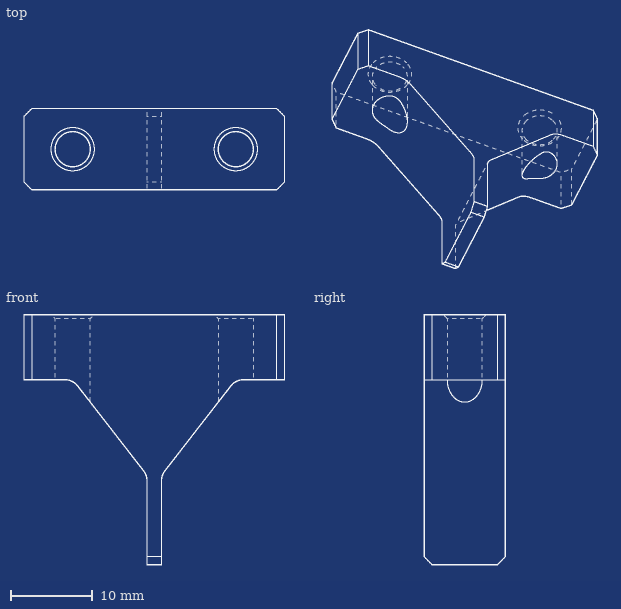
import cadquery as cq

length = 32.0
width = 10.0
block_height = 8.0
total_height = 30.7
corner_chamfer = 1.0

taper_half_width = 10.0
taper_end_depth = 19.7
blade_thickness = 1.8
bend_radius = 2.0

hole_spacing = 20.0
hole_diameter = 4.3
countersink_diameter = 5.3
countersink_angle = 90


def make_block():
    """Rectangular block with chamfered vertical edges."""
    block = cq.Workplane("XY").box(length, width, block_height, centered=(True, True, False))
    return block.translate((0, 0, -block_height)).edges("|Z").chamfer(corner_chamfer)


def make_blade():
    """Blade with its two lower corners chamfered, reaching up into the block."""
    blade = cq.Workplane("XY").box(blade_thickness, width, total_height, centered=(True, True, False))
    return blade.translate((0, 0, -total_height)).faces("<Z").edges("|X").chamfer(corner_chamfer)


def make_web():
    """Trapezoid tapering from the underside of the block to the blade."""
    half_blade = blade_thickness / 2
    outline = [
        (-taper_half_width, -block_height),
        (taper_half_width, -block_height),
        (half_blade, -taper_end_depth),
        (-half_blade, -taper_end_depth),
    ]
    return cq.Workplane("XZ").polyline(outline).close().extrude(width / 2, both=True)


def round_bends(body):
    """Round the inside corners at both ends of the sloping faces."""
    bends = [(taper_half_width, block_height), (blade_thickness / 2, taper_end_depth)]
    for x, depth in bends:
        for side in (-1, 1):
            selector = cq.selectors.NearestToPointSelector((side * x, 0, -depth))
            body = body.edges("|Y").edges(selector).fillet(bend_radius)
    return body


body = make_block().union(make_web()).union(make_blade())
body = round_bends(body)

result = (
    body.faces(">Z")
    .workplane(origin=(0, 0, 0))
    .pushPoints([(-hole_spacing / 2, 0), (hole_spacing / 2, 0)])
    .cskHole(hole_diameter, countersink_diameter, countersink_angle)
)